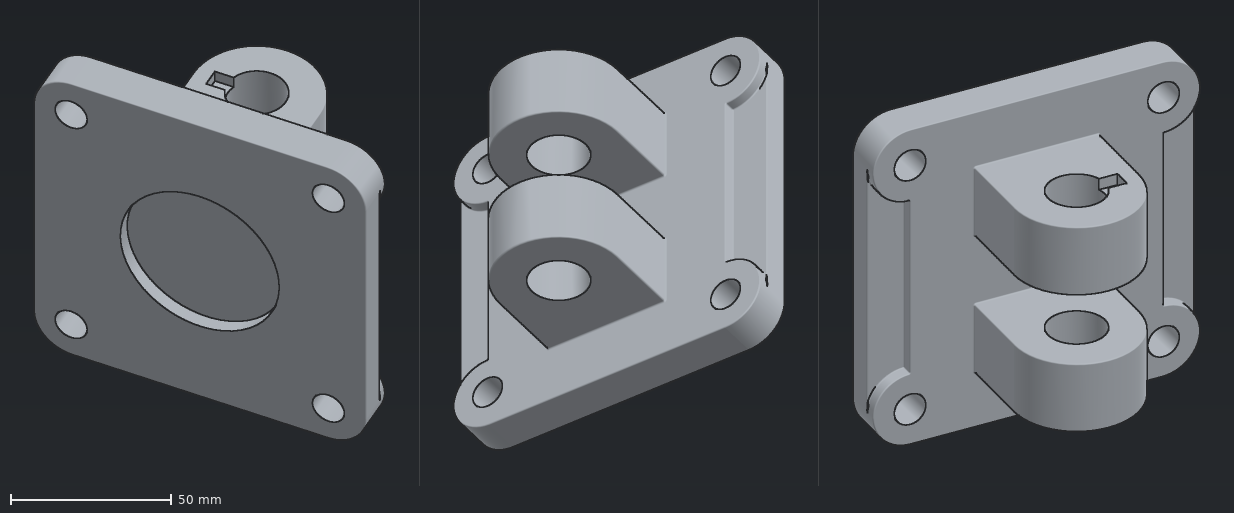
import cadquery as cq

plate_side = 115.0
plate_thickness = 14.0
corner_radius = 13.3
bolt_inset = 13.0
bolt_hole_diameter = 11.0
bolt_offset = plate_side / 2 - bolt_inset

pocket_diameter = 55.0
pocket_depth = 5.0

relief_depth = 4.0
pad_radius = bolt_inset
relief_floor_y = plate_thickness - relief_depth

overall_depth = 63.0
lug_width = 43.9
lug_thickness = 25.0
lug_gap = lug_thickness
lug_top_z = lug_gap / 2 + lug_thickness
pin_hole_diameter = 20.0
pin_y = overall_depth - lug_width / 2

keyway_width = 6.3
keyway_reach = 16.0
keyway_depth = 4.0

edge_fillet = 0.5
lug_edge_fillet = 0.6
root_fillet = 0.6


def cylinder_y(radius, y_start, y_end, x=0.0, z=0.0):
    """Cylinder along Y between two Y positions."""
    start = cq.Vector(x, y_start, z)
    along_y = cq.Vector(0, 1, 0)
    return cq.Workplane(cq.Solid.makeCylinder(radius, y_end - y_start, start, along_y))


def box_between(low, high):
    """Box given by its lowest and highest corners."""
    size = [b - a for a, b in zip(low, high)]
    return cq.Workplane("XY").box(*size, centered=False).translate(low)


def cut_corner_pads(volume):
    """Remove the two round corner pads on the -X side from a cutting volume."""
    for end in (-1, 1):
        pad = cylinder_y(pad_radius, 0, 2 * plate_thickness, -bolt_offset, end * bolt_offset)
        volume = volume.cut(pad)
    return volume


def make_relief():
    """Cutting volume of the -X step: rounded inner corners, reaching past the plate side."""
    relief = cut_corner_pads(
        box_between(
            (-plate_side, relief_floor_y, -bolt_offset),
            (-bolt_offset, 2 * plate_thickness, bolt_offset),
        )
    )
    relief = relief.edges("|Y and >X").fillet(edge_fillet)
    inside_plate = cq.selectors.BoxSelector(
        (-plate_side / 2, 0, -plate_side / 2),
        (0, plate_thickness, plate_side / 2),
    )
    return relief.faces("<Y").edges(inside_plate).fillet(edge_fillet)


def make_relief_rim():
    """Cutting volume that rounds the outer edge of the -X step floor."""
    low_x = -plate_side / 2
    low_y = relief_floor_y - edge_fillet
    rim = box_between(
        (low_x, low_y, -bolt_offset),
        (low_x + edge_fillet, relief_floor_y, bolt_offset),
    )
    rounding = cq.Workplane(
        cq.Solid.makeCylinder(
            edge_fillet, 2 * bolt_offset, cq.Vector(low_x + edge_fillet, low_y, -bolt_offset)
        )
    )
    return cut_corner_pads(rim.cut(rounding))


def make_plate():
    plate = (
        cq.Workplane("XY")
        .box(plate_side, plate_thickness, plate_side)
        .translate((0, plate_thickness / 2, 0))
        .edges("|Y")
        .fillet(corner_radius)
    )
    relief = make_relief()
    plate = plate.cut(relief).cut(relief.mirror("YZ"))
    plate = plate.faces("<Y or >Y").edges().fillet(edge_fillet)
    rim = make_relief_rim()
    return plate.cut(rim).cut(rim.mirror("YZ"))


def make_lug(bottom_z):
    half_width = lug_width / 2
    return (
        cq.Workplane("XY", origin=(0, 0, bottom_z))
        .moveTo(-half_width, plate_thickness)
        .lineTo(-half_width, pin_y)
        .threePointArc((0, overall_depth), (half_width, pin_y))
        .lineTo(half_width, plate_thickness)
        .close()
        .extrude(lug_thickness)
        .faces("<Z or >Z")
        .edges("not <Y")
        .fillet(lug_edge_fillet)
    )


def add_lugs(body):
    for bottom_z in (lug_gap / 2, -lug_top_z):
        body = body.union(make_lug(bottom_z))
    reach_x = lug_width / 2 + root_fillet
    reach_z = lug_top_z + root_fillet
    root_edges = cq.selectors.BoxSelector(
        (-reach_x, plate_thickness - root_fillet / 2, -reach_z),
        (reach_x, plate_thickness + root_fillet / 2, reach_z),
        boundingbox=True,
    )
    return body.edges(root_edges).fillet(root_fillet)


def cut_pin_hole(body):
    pin = cq.Workplane("XY").center(0, pin_y).circle(pin_hole_diameter / 2).extrude(lug_top_z, both=True)
    keyway = box_between(
        (-keyway_reach, pin_y - keyway_width / 2, lug_top_z - keyway_depth),
        (0, pin_y + keyway_width / 2, lug_top_z),
    )
    return body.cut(pin).cut(keyway)


def cut_plate_holes(body):
    for x in (-bolt_offset, bolt_offset):
        for z in (-bolt_offset, bolt_offset):
            body = body.cut(cylinder_y(bolt_hole_diameter / 2, 0, plate_thickness, x, z))
    return body.cut(cylinder_y(pocket_diameter / 2, 0, pocket_depth))


result = cut_plate_holes(cut_pin_hole(add_lugs(make_plate())))